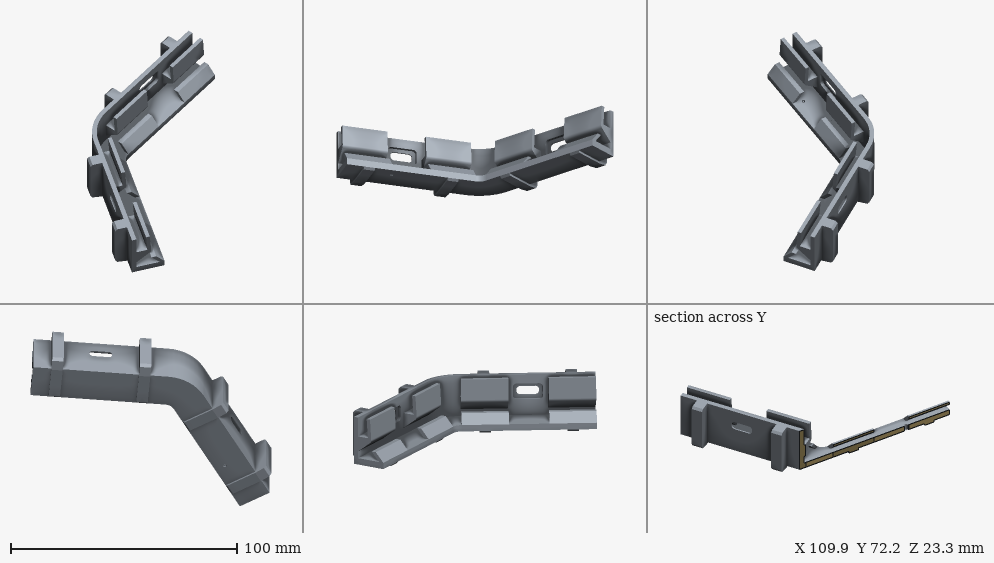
import cadquery as cq

CLIP_LENGTH = 21.0
BLOCK_LENGTH = 17.9
ARM_LENGTH = 2 * CLIP_LENGTH + BLOCK_LENGTH
BEND_ANGLE = 56.0
CORNER_RADIUS = 19.8
LEVEL_TILT = 0.2

DEPTH = 15.0
HEIGHT = 21.9
WALL = 2.1
BASE = 3.0

LIP_TOP = 7.3
LIP_THICKNESS = 2.2
LIP_LEAN = 3.8
TAB_FLOOR = 13.1
TAB_GAP = 4.4
TAB_THICKNESS = 1.8
TAB_LEAN = 0.7
ARM_ROOT = 6.2
ARM_NOSE = 11.5
NOSE_RADIUS = 1.8

RIB_WIDTH = 5.0
RIB_DEPTH = 5.4
RIB_TOP_CHAMFER = 1.0
FOOT_DROP = 1.0
RIB_TOE_RUN = 1.0
RIB_TOE_TOP = 1.1
RIB_TOE_BOTTOM = -0.3

SLOT_LENGTH = 10.0
SLOT_HEIGHT = 4.0
SLOT_CORNER = 1.6
SLOT_CENTRE = 14.0
SLOT_SKIN = 0.5
RECESS_MARGIN = 1.6

RING_X = 37.6
RING_Y = 10.2
RING_DIAMETER = 1.4
CORE_DIAMETER = 0.7


def clip_section():
    lip_outer_top = DEPTH - LIP_LEAN
    tab_outer_top = WALL + TAB_GAP
    tab_inner_top = tab_outer_top + TAB_THICKNESS
    tab_inner_low = tab_inner_top + TAB_LEAN
    outline = [
        (0, 0),
        (DEPTH, 0),
        (DEPTH, BASE),
        (lip_outer_top, LIP_TOP),
        (lip_outer_top - LIP_THICKNESS, LIP_TOP),
        (DEPTH - LIP_THICKNESS, BASE),
        (WALL, BASE),
        (WALL, ARM_ROOT),
        (tab_inner_low, ARM_NOSE),
        (tab_inner_top, HEIGHT),
        (tab_outer_top, HEIGHT),
        (tab_outer_top + TAB_LEAN, TAB_FLOOR),
        (WALL, TAB_FLOOR),
        (WALL, HEIGHT),
        (0, HEIGHT),
    ]
    return cq.Workplane("YZ").polyline(outline).close()


def rib():
    outline = [
        (WALL, HEIGHT),
        (RIB_TOP_CHAMFER - RIB_DEPTH, HEIGHT),
        (-RIB_DEPTH, HEIGHT - RIB_TOP_CHAMFER),
        (-RIB_DEPTH, RIB_TOE_TOP),
        (RIB_TOE_RUN - RIB_DEPTH, RIB_TOE_BOTTOM),
        (0, -FOOT_DROP),
        (DEPTH - FOOT_DROP, -FOOT_DROP),
        (DEPTH, 0),
        (WALL, 0),
    ]
    start = (CLIP_LENGTH - RIB_WIDTH) / 2
    return cq.Workplane("YZ").workplane(offset=start).polyline(outline).close().extrude(RIB_WIDTH)


def clip():
    body = clip_section().extrude(CLIP_LENGTH)
    nose_depth = WALL + TAB_GAP + TAB_THICKNESS + TAB_LEAN
    nose_middle = (CLIP_LENGTH / 2, nose_depth, ARM_NOSE)
    nose = cq.selectors.NearestToPointSelector(nose_middle)
    body = body.edges("|X").edges(nose).fillet(NOSE_RADIUS)
    return body.union(rib())


def angle_section():
    outline = [(0, 0), (DEPTH, 0), (DEPTH, BASE), (WALL, BASE), (WALL, HEIGHT), (0, HEIGHT)]
    return cq.Workplane("YZ").polyline(outline).close()


def rounded_opening(margin, start, end):
    opening = (
        cq.Workplane("XY")
        .box(SLOT_LENGTH + 2 * margin, end - start, SLOT_HEIGHT + 2 * margin)
        .edges("|Y")
        .fillet(SLOT_CORNER)
    )
    return opening.translate((BLOCK_LENGTH / 2, (start + end) / 2, SLOT_CENTRE))


def block():
    slot = rounded_opening(0, 0, WALL)
    recess = rounded_opening(RECESS_MARGIN, SLOT_SKIN, WALL)
    return angle_section().extrude(BLOCK_LENGTH).cut(slot).cut(recess)


def corner():
    return angle_section().revolve(BEND_ANGLE, (CORNER_RADIUS, 1.1, 0), (CORNER_RADIUS, 0, 0))


def post(diameter):
    return cq.Workplane("XY").center(RING_X, RING_Y).circle(diameter / 2).extrude(BASE)


def on_angled_arm(body):
    axis_low = (0, CORNER_RADIUS, 0)
    axis_high = (0, CORNER_RADIUS, 1)
    return body.translate((-ARM_LENGTH, 0, 0)).rotate(axis_low, axis_high, -BEND_ANGLE)


bend = corner()

clips = []
for clip_start in (0, CLIP_LENGTH + BLOCK_LENGTH):
    straight_clip = clip().translate((clip_start, 0, 0))
    clips.append(straight_clip)
    clips.append(on_angled_arm(straight_clip))

plain_block = block().translate((CLIP_LENGTH, 0, 0))
angled_block = on_angled_arm(plain_block)
ringed_block = plain_block.cut(post(RING_DIAMETER))
ring_core = post(CORE_DIAMETER)

bodies = [bend, *clips, angled_block, ringed_block, ring_core]
tilted_bodies = [body.rotate((0, 0, 0), (0, 1, 0), LEVEL_TILT) for body in bodies]

result = cq.Compound.makeCompound([body.solids().val() for body in tilted_bodies])